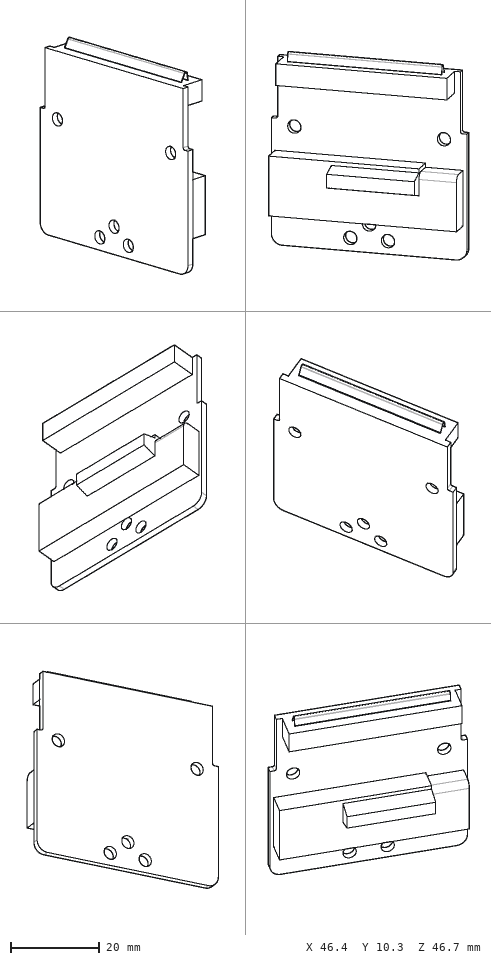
import cadquery as cq
import math

plate_width = 46.4
plate_height = 44.5
plate_thickness = 1.65
neck_width = 43.4
shoulder_z = 29.9
shoulder_fillet = 0.5
bottom_corner_radius = 2.6

hole_diameter = 3.1
side_hole_x = 17.75
side_hole_z = 28.25
centre_hole_z = 6.65
lower_hole_x = 4.47
lower_hole_z = 3.1

top_block_width = 40.6
top_block_height = 5.1
top_block_back_y = 7.65

spring_width = 36.6
spring_front_y = 2.84
spring_back_y = 5.23
spring_top_z = 46.7
spring_thickness = 0.2
spring_bend_radius = 0.55
spring_bend_y = 4.4
spring_embed = 0.3

rear_block_width = 44.6
rear_block_back_y = 6.7
rear_block_bottom_z = 8.2
low_end_top_z = 21.3
low_end_radius = 1.5
tall_body_top_z = 22.3

tongue_left_x = -13.4
tongue_right_x = 7.4
tongue_back_y = 10.3
tongue_root_bottom_z = 15.95
tongue_root_top_z = 21.35
tongue_tip_bottom_z = 17.0
tongue_tip_top_z = 20.25


def box_between(x_range, y_range, z_range):
    """Axis-aligned box from (low, high) limits on each axis."""
    sizes = [high - low for low, high in (x_range, y_range, z_range)]
    corner = (x_range[0], y_range[0], z_range[0])
    return cq.Workplane("XY").box(*sizes, centered=False).translate(corner)


def back_facing_plane():
    """Sketch plane with x along X and y along Z; extrude negatively to go toward +Y."""
    return cq.Workplane("XZ")


def make_plate():
    half_width = plate_width / 2
    half_neck = neck_width / 2
    outline = [
        (-half_width, 0),
        (half_width, 0),
        (half_width, shoulder_z),
        (half_neck, shoulder_z),
        (half_neck, plate_height),
        (-half_neck, plate_height),
        (-half_neck, shoulder_z),
        (-half_width, shoulder_z),
    ]
    plate = back_facing_plane().polyline(outline).close().extrude(-plate_thickness)

    for side in (-1, 1):
        bottom_corner = cq.NearestToPointSelector((side * half_width, plate_thickness / 2, 0))
        plate = plate.edges("|Y").edges(bottom_corner).fillet(bottom_corner_radius)
        shoulder_corner = cq.NearestToPointSelector((side * half_neck, plate_thickness / 2, shoulder_z))
        plate = plate.edges("|Y").edges(shoulder_corner).fillet(shoulder_fillet)
    return plate


def make_plate_holes():
    centres = [(0, centre_hole_z)]
    for side in (-1, 1):
        centres.append((side * side_hole_x, side_hole_z))
        centres.append((side * lower_hole_x, lower_hole_z))
    return back_facing_plane().pushPoints(centres).circle(hole_diameter / 2).extrude(-plate_thickness)


def make_top_block():
    half_width = top_block_width / 2
    return box_between(
        (-half_width, half_width),
        (0, top_block_back_y),
        (plate_height - top_block_height, plate_height),
    )


def make_spring():
    """Inverted V strip: two straight legs tangent to a rounded bend."""
    bend_z = spring_top_z - spring_bend_radius

    def leg_normal_angle(foot_y, side):
        """Direction from the bend centre to where the leg through the foot touches the bend."""
        dy = foot_y - spring_bend_y
        dz = plate_height - bend_z
        foot_distance = math.hypot(dy, dz)
        return math.atan2(dz, dy) + side * math.acos(spring_bend_radius / foot_distance)

    front_angle = leg_normal_angle(spring_front_y, -1)
    back_angle = leg_normal_angle(spring_back_y, 1)

    def bend_point(angle, radius):
        return (spring_bend_y + radius * math.cos(angle), bend_z + radius * math.sin(angle))

    def foot_point(angle, radius):
        """Point of a leg face at the depth where the strip ends inside the housing."""
        foot_z = plate_height - spring_embed
        y, z = bend_point(angle, radius)
        return (y + (z - foot_z) * math.tan(angle), foot_z)

    outer = spring_bend_radius
    inner = spring_bend_radius - spring_thickness
    top_angle = math.pi / 2
    return (
        cq.Workplane("YZ")
        .moveTo(*foot_point(front_angle, outer))
        .lineTo(*bend_point(front_angle, outer))
        .threePointArc(bend_point(top_angle, outer), bend_point(back_angle, outer))
        .lineTo(*foot_point(back_angle, outer))
        .lineTo(*foot_point(back_angle, inner))
        .lineTo(*bend_point(back_angle, inner))
        .threePointArc(bend_point(top_angle, inner), bend_point(front_angle, inner))
        .lineTo(*foot_point(front_angle, inner))
        .close()
        .extrude(spring_width / 2, both=True)
    )


def make_rear_block():
    half_width = rear_block_width / 2
    depth = (0, rear_block_back_y)
    low_end = box_between(
        (-half_width, tongue_left_x),
        depth,
        (rear_block_bottom_z, low_end_top_z),
    )
    low_end = low_end.edges(">Y and >Z").fillet(low_end_radius)
    tall_body = box_between(
        (tongue_left_x, half_width),
        depth,
        (rear_block_bottom_z, tall_body_top_z),
    )
    return low_end.union(tall_body)


def make_tongue():
    profile = [
        (rear_block_back_y, tongue_root_bottom_z),
        (tongue_back_y, tongue_tip_bottom_z),
        (tongue_back_y, tongue_tip_top_z),
        (rear_block_back_y, tongue_root_top_z),
    ]
    return (
        cq.Workplane("YZ", origin=(tongue_left_x, 0, 0))
        .polyline(profile)
        .close()
        .extrude(tongue_right_x - tongue_left_x)
    )


result = (
    make_plate()
    .cut(make_plate_holes())
    .union(make_top_block())
    .union(make_spring())
    .union(make_rear_block())
    .union(make_tongue())
)